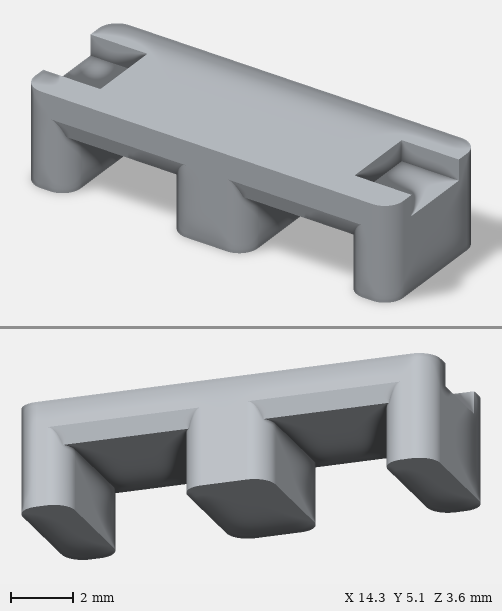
import cadquery as cq

length = 14.3
width = 5.1
height = 3.6
corner_radius = 0.72

opening_length = 3.86
opening_offset = 3.43
opening_height = 2.09
leg_radius = 0.72

relief_height = 0.6
relief_depth = 0.2

notch_length = 2.22
notch_width = 2.72
notch_depth = 0.79


def make_block():
    block = cq.Workplane("XY").box(length, width, height, centered=(True, True, False))
    return block.edges("|Z").fillet(corner_radius)


def make_opening(center_x):
    """Through opening that flares around rounded legs and a sloped roof edge."""
    half_width = width / 2
    half_opening = opening_length / 2
    flared_half = half_opening + leg_radius
    straight_half = half_width - leg_radius

    roof_height = opening_height + relief_height
    plan = (
        cq.Workplane("XY")
        .moveTo(-half_opening, -straight_half)
        .radiusArc((-flared_half, -half_width), leg_radius)
        .lineTo(flared_half, -half_width)
        .radiusArc((half_opening, -straight_half), leg_radius)
        .lineTo(half_opening, straight_half)
        .radiusArc((flared_half, half_width), leg_radius)
        .lineTo(-flared_half, half_width)
        .radiusArc((-half_opening, straight_half), leg_radius)
        .close()
        .extrude(roof_height)
    )

    profile = (
        cq.Workplane("YZ")
        .moveTo(-half_width, 0)
        .lineTo(-half_width, roof_height)
        .lineTo(-half_width + relief_depth, opening_height)
        .lineTo(half_width - relief_depth, opening_height)
        .lineTo(half_width, roof_height)
        .lineTo(half_width, 0)
        .close()
        .extrude(flared_half, both=True)
    )
    return plan.intersect(profile).translate((center_x, 0, 0))


def make_notch(side):
    center_x = side * (length - notch_length) / 2
    return (
        cq.Workplane("XY")
        .box(notch_length, notch_width, notch_depth, centered=(True, True, False))
        .translate((center_x, 0, height - notch_depth))
    )


result = make_block()
for side in (-1, 1):
    result = result.cut(make_opening(side * opening_offset))
    result = result.cut(make_notch(side))